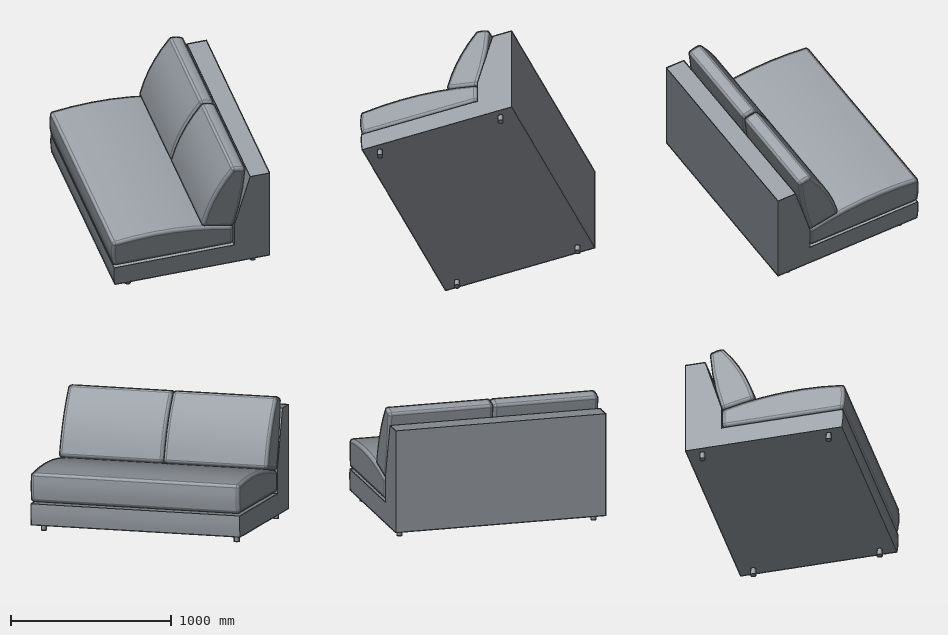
import cadquery as cq

SOFA_WIDTH = 1360.0
LEG_HEIGHT = 46.0
CUSHION_FILLET = 20.0

FRAME_TOP = 704.0
FRAME_TOP_DEPTH = 126.0
BACKREST_FOOT_DEPTH = 230.0
BACKREST_FOOT_Z = 340.0
DECK_Z = 181.0
FRAME_FRONT_TOP_DEPTH = 1009.0
FRAME_FRONT_BOTTOM_DEPTH = 1003.0
FRAME_FRONT_BOW = 4.0

SEAT_REAR_DEPTH = 234.0
SEAT_BOTTOM_Z = 193.0
SEAT_REAR_TOP_Z = 325.0
SEAT_FRONT_TOP_DEPTH = 1014.0
SEAT_FRONT_BOTTOM_DEPTH = 1009.0
SEAT_FRONT_TOP_Z = 374.0
SEAT_TOP_BOW = 41.0
SEAT_FRONT_BOW = 10.0

SECTION_COUNT = 2
SECTION_WIDTH = SOFA_WIDTH / SECTION_COUNT
BACK_REAR_BOTTOM = (-234.0, 329.0)
BACK_FRONT_BOTTOM = (-440.0, 374.0)
BACK_FRONT_TOP = (-239.0, 791.0)
BACK_REAR_TOP = (-155.0, 770.0)
BACK_FRONT_BOW = 27.0
BACK_TOP_BOW = 7.0
BACK_REAR_BOW = 14.0

LEG_DIAMETER = 33.0
LEG_SIDE_INSET = 52.0
LEG_DEPTHS = (95.0, 905.0)


def side_profile(left_x):
    """Sketch plane in (Y, Z) at the given X, extruding towards +X."""
    return cq.Workplane("YZ", origin=(left_x, 0, 0))


def make_frame():
    """L-shaped frame with a slightly bowed front face."""
    return (
        side_profile(-SOFA_WIDTH / 2)
        .moveTo(0, LEG_HEIGHT)
        .lineTo(0, FRAME_TOP)
        .lineTo(-FRAME_TOP_DEPTH, FRAME_TOP)
        .lineTo(-BACKREST_FOOT_DEPTH, BACKREST_FOOT_Z)
        .lineTo(-BACKREST_FOOT_DEPTH, DECK_Z)
        .lineTo(-FRAME_FRONT_TOP_DEPTH, DECK_Z)
        .sagittaArc((-FRAME_FRONT_BOTTOM_DEPTH, LEG_HEIGHT), -FRAME_FRONT_BOW)
        .close()
        .extrude(SOFA_WIDTH)
    )


def make_seat():
    """Full-width seat cushion with a crowned top and a bowed front."""
    return (
        side_profile(-SOFA_WIDTH / 2)
        .moveTo(-SEAT_REAR_DEPTH, SEAT_BOTTOM_Z)
        .lineTo(-SEAT_REAR_DEPTH, SEAT_REAR_TOP_Z)
        .sagittaArc((-SEAT_FRONT_TOP_DEPTH, SEAT_FRONT_TOP_Z), -SEAT_TOP_BOW)
        .sagittaArc((-SEAT_FRONT_BOTTOM_DEPTH, SEAT_BOTTOM_Z), -SEAT_FRONT_BOW)
        .close()
        .extrude(SOFA_WIDTH)
        .edges()
        .fillet(CUSHION_FILLET)
    )


def make_back_section(left_x):
    """One padded section, rounded along every edge."""
    return (
        side_profile(left_x)
        .moveTo(*BACK_REAR_BOTTOM)
        .sagittaArc(BACK_REAR_TOP, -BACK_REAR_BOW)
        .sagittaArc(BACK_FRONT_TOP, -BACK_TOP_BOW)
        .sagittaArc(BACK_FRONT_BOTTOM, -BACK_FRONT_BOW)
        .close()
        .extrude(SECTION_WIDTH)
        .edges()
        .fillet(CUSHION_FILLET)
    )


def make_back_cushion():
    """Sections joined where their flat ends meet, which leaves a rounded crease all round."""
    cushion = make_back_section(-SOFA_WIDTH / 2)
    for i in range(1, SECTION_COUNT):
        cushion = cushion.union(make_back_section(-SOFA_WIDTH / 2 + i * SECTION_WIDTH))
    return cushion


def make_leg(x, depth):
    """Round leg from the floor up to the underside of the frame."""
    return cq.Workplane("XY").center(x, -depth).circle(LEG_DIAMETER / 2).extrude(LEG_HEIGHT)


frame = make_frame()
seat = make_seat()
back_cushion = make_back_cushion()

leg_x = SOFA_WIDTH / 2 - LEG_SIDE_INSET
legs = [make_leg(x, depth) for x in (-leg_x, leg_x) for depth in LEG_DEPTHS]

bodies = [frame, seat, back_cushion, *legs]
result = cq.Compound.makeCompound([body.val() for body in bodies])